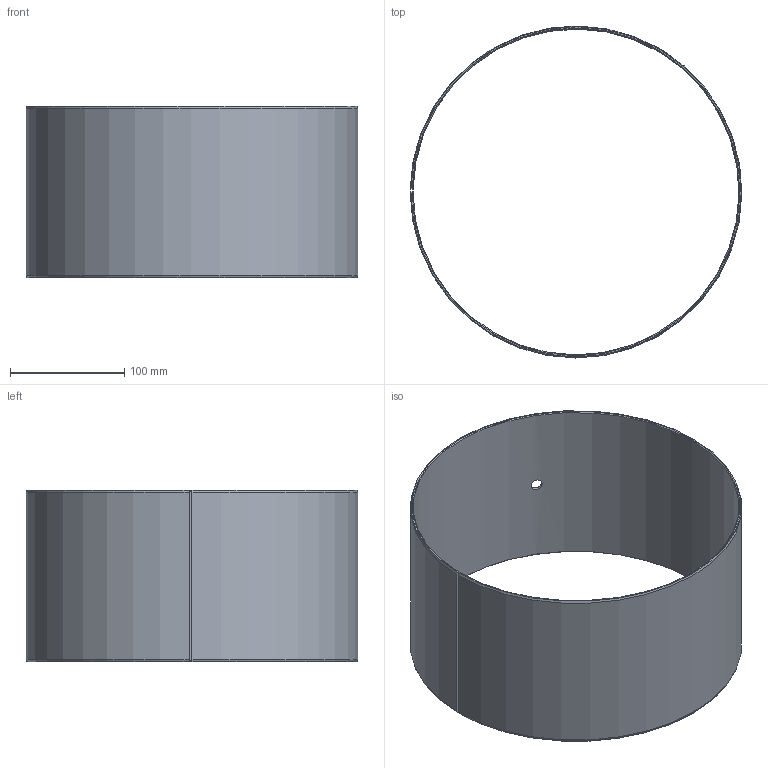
import cadquery as cq
import math

outer_diameter = 290.0
wall = 2.5
height = 150.0
slit_angle = 1.0

outer_bevel_height = 1.8
outer_bevel_angle = 20.0
inner_chamfer = 0.8

hole_diameter = 10.0
hole_angle_from_slit = 120.0

start_angle = 180.0
end_angle = start_angle - slit_angle
hole_angle = end_angle - hole_angle_from_slit

outer_radius = outer_diameter / 2
inner_radius = outer_radius - wall
half_height = height / 2


def make_band():
    """Revolve the bevelled wall section through everything but the slit."""
    bevel_width = outer_bevel_height * math.tan(math.radians(outer_bevel_angle))
    rim_outer_radius = outer_radius - bevel_width
    rim_inner_radius = inner_radius + inner_chamfer
    outer_wall_top = half_height - outer_bevel_height
    inner_wall_top = half_height - inner_chamfer
    section = [
        (inner_radius, -inner_wall_top),
        (rim_inner_radius, -half_height),
        (rim_outer_radius, -half_height),
        (outer_radius, -outer_wall_top),
        (outer_radius, outer_wall_top),
        (rim_outer_radius, half_height),
        (rim_inner_radius, half_height),
        (inner_radius, inner_wall_top),
    ]
    band = (
        cq.Workplane("XZ")
        .polyline(section)
        .close()
        .revolve(360 - slit_angle, (0, 0, 0), (0, 1, 0))
    )
    return band.rotate((0, 0, 0), (0, 0, 1), start_angle)


def make_hole_cutter():
    """Cylinder reaching from the band's axis out through one wall."""
    cutter = cq.Workplane("YZ").circle(hole_diameter / 2).extrude(outer_radius + wall)
    return cutter.rotate((0, 0, 0), (0, 0, 1), hole_angle)


result = make_band().cut(make_hole_cutter())